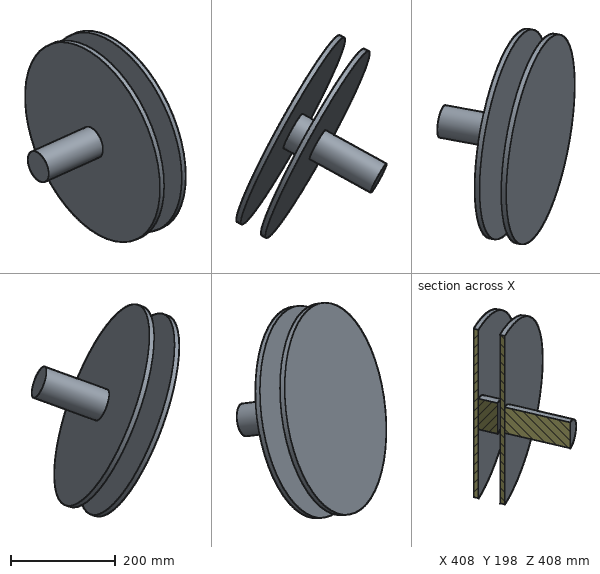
import cadquery as cq

disc_diameter = 408.0
disc_thickness = 10.0
hub_diameter = 75.5
hub_length = 39.0
hub_clearance = 4.5
shaft_diameter = 63.5
overall_depth = 198.0

rear_disc_back = 0.0
hub_back = rear_disc_back + disc_thickness
front_disc_back = hub_back + hub_length + hub_clearance
shaft_back = front_disc_back + disc_thickness
shaft_length = overall_depth - shaft_back


def make_cylinder(diameter, length, back_distance):
    """Solid cylinder running toward -Y from the given distance in front of the origin."""
    return (
        cq.Workplane("XZ", origin=(0, -back_distance, 0))
        .circle(diameter / 2)
        .extrude(length)
    )


def make_disc(back_distance):
    """One of the two identical flat discs."""
    return make_cylinder(disc_diameter, disc_thickness, back_distance)


def make_hub():
    """Short boss seated on the rear disc, clear of the front disc."""
    return make_cylinder(hub_diameter, hub_length, hub_back)


def make_shaft():
    """Long shaft seated on the front face of the front disc."""
    return make_cylinder(shaft_diameter, shaft_length, shaft_back)


discs = [make_disc(back).val() for back in (rear_disc_back, front_disc_back)]
hub = make_hub()
shaft = make_shaft()

result = cq.Compound.makeCompound([*discs, hub.val(), shaft.val()])